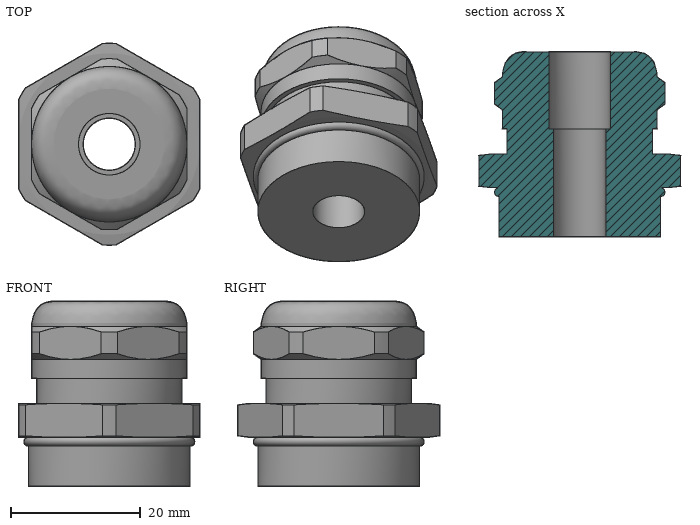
import cadquery as cq
import math


thread_top = 6.2
body_hex_bottom = 7.58
body_hex_top = 12.8
nut_bottom = 16.65
nut_hex_bottom = 19.6
nut_hex_top = 24.7
dome_bottom = 25.15
overall_height = 28.6

thread_diameter = 25.0
neck_diameter = 22.5
nut_diameter = 24.0
top_face_diameter = 17.0
seal_outer_diameter = 26.4

body_hex_flats = 28.0
body_hex_corners = 31.2
body_hex_chamfer_height = 0.22
nut_hex_flats = nut_diameter
nut_hex_corners = 26.4
nut_hex_chamfer_height = 0.87

dome_flank_lean = 9.0

entry_diameter = 9.5
entry_floor = nut_bottom
bore_diameter = 8.0


def cylinder(diameter, bottom, top):
    """Solid cylinder on the axis between two levels."""
    return cq.Workplane("XY").workplane(offset=bottom).circle(diameter / 2).extrude(top - bottom)


def revolve_about_axis(profile):
    """Full turn of a closed XZ half profile (x is the radius) about Z."""
    return profile.revolve(360, (0, 0, 0), (0, 1, 0))


def chamfered_hexagon(flats, corners, bottom, top, chamfer_height):
    """Hexagon with flats facing +X and -X, turned round at its corners and chamfered at both ends."""
    circumscribed_diameter = flats / math.cos(math.radians(30))
    hexagon = (
        cq.Workplane("XY")
        .workplane(offset=bottom)
        .transformed(rotate=(0, 0, 30))
        .polygon(6, circumscribed_diameter)
        .extrude(top - bottom)
    )
    turned_envelope = revolve_about_axis(
        cq.Workplane("XZ")
        .moveTo(0, bottom)
        .lineTo(flats / 2, bottom)
        .lineTo(corners / 2, bottom + chamfer_height)
        .lineTo(corners / 2, top - chamfer_height)
        .lineTo(flats / 2, top)
        .lineTo(0, top)
        .close()
    )
    return hexagon.intersect(turned_envelope)


def sealing_ring():
    """O-ring between thread and body hexagon, filled in to the axis."""
    section_radius = (body_hex_bottom - thread_top) / 2
    centre_radius = seal_outer_diameter / 2 - section_radius
    return revolve_about_axis(
        cq.Workplane("XZ")
        .moveTo(0, thread_top)
        .lineTo(centre_radius, thread_top)
        .threePointArc(
            (seal_outer_diameter / 2, thread_top + section_radius),
            (centre_radius, body_hex_bottom),
        )
        .lineTo(0, body_hex_bottom)
        .close()
    )


def dome():
    """Rounded crown of the nut, running tangent into the flat top face."""
    lean = math.radians(dome_flank_lean)
    return revolve_about_axis(
        cq.Workplane("XZ")
        .moveTo(0, dome_bottom)
        .lineTo(nut_diameter / 2, dome_bottom)
        .spline(
            [(top_face_diameter / 2, overall_height)],
            tangents=[(-math.sin(lean), math.cos(lean)), (-1, 0)],
            includeCurrent=True,
        )
        .lineTo(0, overall_height)
        .close()
    )


def gland_body():
    """Thread, sealing ring, hexagon and neck."""
    hexagon = chamfered_hexagon(
        body_hex_flats, body_hex_corners, body_hex_bottom, body_hex_top, body_hex_chamfer_height
    )
    return (
        cylinder(thread_diameter, 0, thread_top)
        .union(sealing_ring())
        .union(hexagon)
        .union(cylinder(neck_diameter, body_hex_top, nut_bottom))
    )


def gland_nut():
    """Round nut with a hexagon band and a domed crown."""
    hexagon = chamfered_hexagon(
        nut_hex_flats, nut_hex_corners, nut_hex_bottom, nut_hex_top, nut_hex_chamfer_height
    )
    return (
        cylinder(nut_diameter, nut_bottom, nut_hex_bottom)
        .union(hexagon)
        .union(cylinder(nut_diameter, nut_hex_top, dome_bottom))
        .union(dome())
    )


result = (
    gland_body()
    .union(gland_nut())
    .cut(cylinder(bore_diameter, 0, entry_floor))
    .cut(cylinder(entry_diameter, entry_floor, overall_height))
)